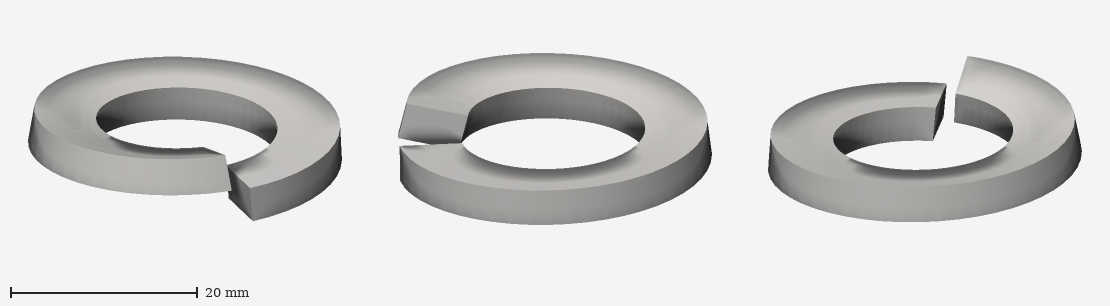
import cadquery as cq
import math

outer_radius = 16.8
radial_width = 6.7
thickness = 3.93
pitch = 4.03

slot_start_y = 0.9
slot_end_y = -1.18
slot_lean = 5.0

start_angle = 0.6
coil_angle = 356.6


def make_coil():
    """Sweep the bar along the lower outer edge, letting it twist as it climbs."""
    rise = pitch * coil_angle / 360
    path = cq.Wire.makeHelix(pitch, rise, outer_radius)
    lead_angle = math.atan2(pitch, 2 * math.pi * outer_radius)
    start_plane = cq.Plane(
        origin=(outer_radius, 0, 0),
        xDir=(-1, 0, 0),
        normal=(0, math.cos(lead_angle), math.sin(lead_angle)),
    )
    section = cq.Workplane(start_plane).rect(radial_width, thickness, centered=False)
    coil = section.sweep(cq.Workplane(path), isFrenet=False)
    return coil.rotate((0, 0, 0), (0, 0, 1), start_angle)


def make_slot():
    """Leaning block that crosses the bar on the +X side."""
    half_height = 2 * (thickness + pitch)
    lean_shift = half_height * math.tan(math.radians(slot_lean))
    return (
        cq.Workplane("YZ")
        .moveTo(slot_start_y + lean_shift, -half_height)
        .lineTo(slot_start_y - lean_shift, half_height)
        .lineTo(slot_end_y - lean_shift, half_height)
        .lineTo(slot_end_y + lean_shift, -half_height)
        .close()
        .extrude(2 * outer_radius)
    )


result = make_coil().cut(make_slot())